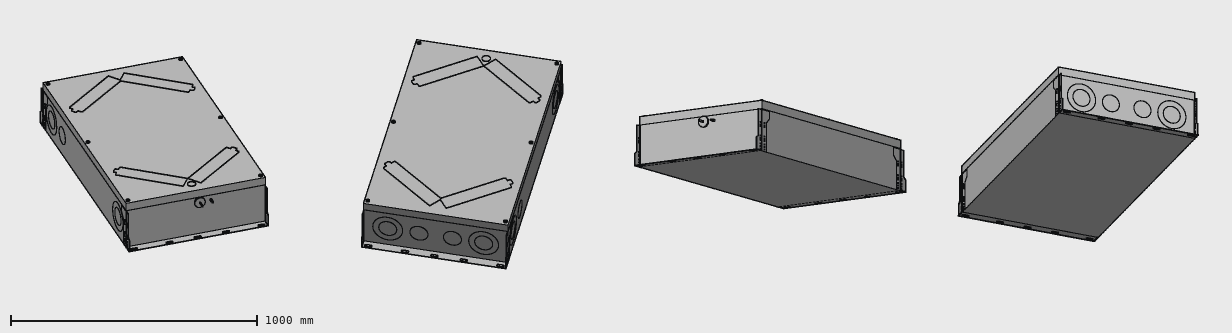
import cadquery as cq

length = 1071.0
width = 601.0
height = 215.0

lid_length = 999.0
lid_bottom = 175.0
lid_top = 210.0
lid_overhang = 0.5
body_length = lid_length - 2 * lid_overhang
body_width = width - 2 * lid_overhang

knockout_z = 90.0
knockout_step = 0.5
large_knockout_radius = 62.0
small_knockout_radius = 37.0
front_double_x = 398.0
front_single_x = -270.0
side_double_y = 199.0
side_single_y = 70.0

bracket_top = 171.0
sheet = 2.7
ear_upper_x = 521.0
ear_step_low = 51.0
ear_step_high = 62.0
plate_upper_x = 445.0
plate_lower_x = 467.0
plate_step_low = 120.0
plate_step_high = 140.0

perforation_columns = (480.0, 508.0)
perforation_width = 3.0
perforation_hole_z = (9.0, 19.0, 30.0, 62.0, 119.0)
perforation_slot_z = (48.0, 105.0)
perforation_slot_height = 11.0
perforation_depth = 4.0

slot_x = 523.0
slot_length = 30.0
slot_width = 11.0
slot_y = (-274.0, -122.0, 0, 122.0, 274.0)

screw_x = (-481.0, 0, 481.0)
screw_y = 286.0
screw_radius = 8.0
screw_chamfer = 3.0
recess_length = 10.0
recess_width = 2.0
recess_depth = 2.0

raised = 2.7
strip_angle = 52.5
strip_start_x = 432.0
strip_start_y = 15.0
strip_length = 294.0
strip_shortening = 5.0
strip_gap = 1.0
strip_width = 63.0
strip_corner = 5.0
tab_length = 15.0
tab_width = 26.0
button_x = 449.0
button_radius = 17.0

fitting_z = 152.0
latch_disc_x = 506.0
latch_y = 16.0
latch_radius = 22.0
blade_thickness = 3.0
blade_height = 7.0
stud_y = 65.0
stud_radius = 3.0
nut_end_x = 511.0
nut_size = 11.0
stud_end_x = 523.0


def slab(x_size, y_size, z_low, z_high):
    """Box centred on the Z axis between two heights."""
    return cq.Workplane("XY").workplane(offset=z_low).rect(x_size, y_size).extrude(z_high - z_low)


def block(x_range, y_range, z_range):
    """Box spanning the given ranges."""
    sizes = [high - low for low, high in (x_range, y_range, z_range)]
    return cq.Workplane("XY").box(*sizes, centered=False).translate((x_range[0], y_range[0], z_range[0]))


def four_corners(quarter):
    """Copies of a +X +Y feature in all four quadrants."""
    half = quarter.union(quarter.mirror("YZ"))
    return half.union(half.mirror("XZ"))


def front_disc(x, radius, depth):
    """Disc reaching the given depth into the -Y wall."""
    plane = cq.Workplane("XZ", origin=(x, -body_width / 2, knockout_z))
    return plane.circle(radius).extrude(-depth)


def side_disc(y, radius, depth):
    """Disc reaching the given depth into the -X wall."""
    plane = cq.Workplane("YZ", origin=(-body_length / 2, y, knockout_z))
    return plane.circle(radius).extrude(depth)


def cut_knockouts(body):
    """Cut the stepped double knockouts and the plain single ones."""
    for disc, double_centers, single_centers in (
        (front_disc, (-front_double_x, front_double_x), (front_single_x,)),
        (side_disc, (-side_double_y, side_double_y), (-side_single_y, side_single_y)),
    ):
        for center in double_centers:
            body = body.cut(disc(center, large_knockout_radius, knockout_step))
            body = body.cut(disc(center, small_knockout_radius, 2 * knockout_step))
        for center in single_centers:
            body = body.cut(disc(center, small_knockout_radius, knockout_step))
    return body


def corner_bracket():
    """Wall plate and projecting ear at the +X +Y corner."""
    wall_plate = (
        cq.Workplane("XZ", origin=(0, width / 2, 0))
        .moveTo(lid_length / 2, 0)
        .lineTo(lid_length / 2, bracket_top)
        .lineTo(plate_upper_x, bracket_top)
        .lineTo(plate_upper_x, plate_step_high)
        .lineTo(plate_lower_x, plate_step_low)
        .lineTo(plate_lower_x, 0)
        .close()
        .extrude(sheet)
    )
    ear = (
        cq.Workplane("XZ", origin=(0, body_width / 2, 0))
        .moveTo(body_length / 2, sheet)
        .lineTo(length / 2, sheet)
        .lineTo(length / 2, ear_step_low)
        .lineTo(ear_upper_x, ear_step_high)
        .lineTo(ear_upper_x, bracket_top)
        .lineTo(body_length / 2, bracket_top)
        .close()
        .extrude(sheet)
    )
    return wall_plate.union(ear)


def bracket_perforations():
    """Columns of small square holes and tall slots through the +X +Y bracket."""
    holes = [(x, z) for x in perforation_columns for z in perforation_hole_z]
    slots = [(x, z) for x in perforation_columns for z in perforation_slot_z]
    plane = cq.Workplane("XZ", origin=(0, width / 2, 0))
    hole_tools = plane.pushPoints(holes).rect(perforation_width, perforation_width).extrude(perforation_depth)
    slot_tools = (
        plane.pushPoints(slots).rect(perforation_width, perforation_slot_height).extrude(perforation_depth)
    )
    return hole_tools.union(slot_tools)


def flange_slots():
    """Row of slots along Y for the flange at each end."""
    centers = [(side * slot_x, y) for side in (-1, 1) for y in slot_y]
    return cq.Workplane("XY").pushPoints(centers).slot2D(slot_length, slot_width, 90).extrude(sheet)


def lid_screw():
    """Chamfered screw head with a cross recess, standing on the XY plane."""
    head_height = height - lid_top
    head = cq.Workplane("XY").circle(screw_radius).extrude(head_height).faces(">Z").chamfer(screw_chamfer)
    recess = cq.Workplane("XY").workplane(offset=head_height)
    for bar in ((recess_length, recess_width), (recess_width, recess_length)):
        head = head.cut(recess.rect(*bar).extrude(-recess_depth))
    return head


def lid_strip(shortening):
    """Raised strip with an end tab in the +X +Y quarter; the shortening is taken off its inner end."""
    blank_length = strip_length - shortening
    blank = slab(strip_width, blank_length, lid_top, lid_top + raised)
    blank = blank.edges("|Z and >Y").fillet(strip_corner).translate((0, shortening + blank_length / 2, 0))
    tab = slab(tab_width, 2 * tab_length, lid_top, lid_top + raised)
    tab = tab.edges("|Z and >Y").fillet(strip_corner).translate((0, strip_length, 0))
    strip = blank.union(tab).rotate((0, 0, 0), (0, 0, 1), 90 - strip_angle)
    strip = strip.translate((strip_start_x, strip_start_y, 0))
    return strip.cut(block((0, length / 2), (-width / 2, strip_gap / 2), (lid_top, height)))


def latch():
    """Round latch on the +X wall with a thin upright handle blade."""
    plane = cq.Workplane("YZ", origin=(body_length / 2, latch_y, fitting_z))
    disc = plane.circle(latch_radius).extrude(latch_disc_x - body_length / 2)
    blade = plane.rect(blade_thickness, blade_height).extrude(length / 2 - body_length / 2)
    return disc.union(blade)


def stud():
    """Round stud with a hexagonal nut against the +X wall."""
    plane = cq.Workplane("YZ", origin=(body_length / 2, stud_y, fitting_z))
    shank = plane.circle(stud_radius).extrude(stud_end_x - body_length / 2)
    nut = plane.polygon(6, nut_size).extrude(nut_end_x - body_length / 2)
    return shank.union(nut)


result = cut_knockouts(slab(body_length, body_width, 0, lid_bottom))
result = result.union(slab(lid_length, width, lid_bottom, lid_top))

flanges = slab(length, width, 0, sheet).cut(slab(body_length, width, 0, sheet)).cut(flange_slots())
result = result.union(flanges)
result = result.union(four_corners(corner_bracket()))
result = result.cut(four_corners(bracket_perforations()))

left_strip = lid_strip(0).mirror("YZ")
right_strip = lid_strip(strip_shortening)
for strip in (left_strip, right_strip):
    result = result.union(strip).union(strip.mirror("XZ"))
button = cq.Workplane("XY", origin=(button_x, 0, lid_top)).circle(button_radius).extrude(raised)
result = result.union(button)
for x in screw_x:
    for y in (-screw_y, screw_y):
        result = result.union(lid_screw().translate((x, y, lid_top)))

result = result.union(latch()).union(stud())